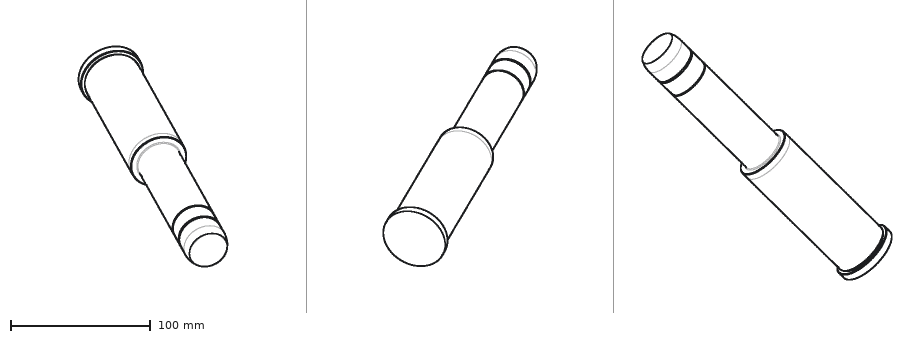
import cadquery as cq

total_length = 231.0
flange_radius = 47.0 / 2
flange_thickness = 6.0
flange_chamfer = 0.5
body_radius = 42.0 / 2
body_end = 115.0
pin_radius = 32.0 / 2

undercut_depth = 0.5
undercut_end = 7.2

lead_start = 110.0
lead_drop = 0.07
body_chamfer = 0.5
pin_root_fillet = 0.7

pin_grooves = [(196.8, 0.7), (211.1, 1.5)]
groove_depth = 0.5

nose_length = 7.6
nose_drop = 1.8
nose_radius = (nose_length**2 + nose_drop**2) / (2 * nose_drop)


def turned_body():
    """Revolve the half outline, drawn with radius along Y, about the X axis."""
    undercut_radius = body_radius - undercut_depth
    lead_radius = body_radius - lead_drop
    outline = (
        cq.Workplane("XY")
        .lineTo(0, flange_radius)
        .lineTo(flange_thickness - flange_chamfer, flange_radius)
        .lineTo(flange_thickness, flange_radius - flange_chamfer)
        .lineTo(flange_thickness, undercut_radius)
        .lineTo(undercut_end, body_radius)
        .lineTo(lead_start, body_radius)
        .lineTo(body_end - body_chamfer, lead_radius)
        .lineTo(body_end, lead_radius - body_chamfer)
        .lineTo(body_end, pin_radius + pin_root_fillet)
        .radiusArc((body_end + pin_root_fillet, pin_radius), -pin_root_fillet)
        .lineTo(total_length - nose_length, pin_radius)
        .radiusArc((total_length, pin_radius - nose_drop), nose_radius)
        .lineTo(total_length, 0)
        .close()
    )
    return outline.revolve(360, (0, 0, 0), (1, 0, 0))


def groove_cutter(start, width):
    """Round-bottomed ring that cuts one groove into the pin."""
    outline = (
        cq.Workplane("XY")
        .moveTo(start, pin_radius)
        .threePointArc((start + width / 2, pin_radius - groove_depth), (start + width, pin_radius))
        .close()
    )
    return outline.revolve(360, (0, 0, 0), (1, 0, 0))


result = turned_body()
for groove_start, groove_width in pin_grooves:
    result = result.cut(groove_cutter(groove_start, groove_width))